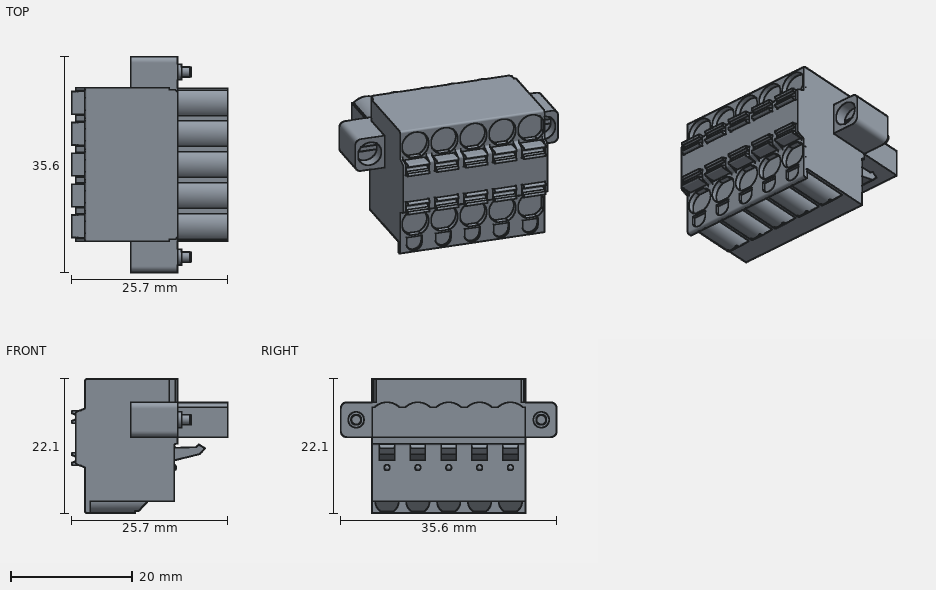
import cadquery as cq
import math


pole_count = 5
pitch = 5.08
pole_ys = [(i - (pole_count - 1) / 2) * pitch for i in range(pole_count)]

height = 22.1
overall_length = 25.72
screw_y = (pole_count + 1) / 2 * pitch
overall_width = 2 * screw_y + pitch

housing_half_width = 12.65
face_x = 2.19
upper_back_x = 17.46
lower_back_x = 16.92
belly_z = 1.93
plinth_back_x = 3.04
face_edge_radius = 0.35

selection_margin = 0.01

band_x = 0.68
band_mid_z = 12.38
band_half_base = 4.86
band_half_top = 4.27
band_edge_radius = 0.35
band_root_radius = 0.25

notch_start_x = 16.05
notch_depth = 0.33
notch_chamfer = 0.38

slot_width = 4.13
slot_outer_offset = 5.1
latch_width = 3.76
latch_outer_offset = 4.5
latch_inner_offset = 2.4
groove_radius = 0.35
lip_tip_radius = 0.25

actuator_radius = 2.34
actuator_y_shift = -0.19
actuator_depth = 1.0
actuator_half_span = 12.45
upper_actuator_z = 19.3
upper_actuator_low_z = 17.18
lower_actuator_z = 5.33
lower_actuator_half_height = 2.15

test_radius = 1.35
test_axis_z = 1.72
test_top_z = 2.83
test_depth = 0.5

rib_radius = belly_z
rib_end_x = 10.47
rib_step_x = 11.03
rib_step_z = 0.35
rib_top_x = 12.54

plug_half_width = 12.6
plug_bottom_z = 12.5
plug_top_z = 18.26
plug_valley_z = 17.4
dome_chord = 4.2
flange_front_x = 9.71
flange_edge_radius = 1.0
screw_z = (plug_bottom_z + plug_top_z) / 2
screw_hole_radius = 2.05
screw_hole_depth = 2.1
driver_slot_width = 0.8
driver_slot_depth = 0.15
collar_radius = 1.3
collar_end_x = 18.1
pin_radius = 0.86
pin_end_x = 19.68
pin_taper_length = 0.25
pin_taper = 0.08

relief_top_z = 11.43
relief_radius = 0.32
arm_width = 2.5
arm_neck = (20.5, 10.89)
arm_hook_crest = (20.95, 11.33)
arm_hook_tip = (21.98, 10.68)
arm_heel = (21.1, 9.72)
arm_root_bottom_z = 8.68
pip_z = 7.5
pip_radius = 0.47
pip_height = 0.3


def box(x0, x1, y0, y1, z0, z1):
    """Axis-aligned box from its limits."""
    return cq.Workplane("XY").box(x1 - x0, y1 - y0, z1 - z0, centered=False).translate((x0, y0, z0))


def along_y(outline, y_center, width):
    """Extrude an XZ outline symmetrically about y_center."""
    plane = cq.Workplane("XZ", origin=(0, y_center, 0))
    return plane.polyline(outline).close().extrude(width / 2, both=True)


def rod(x0, x1, y, z, radius):
    """Round bar along X."""
    return cq.Workplane("YZ", origin=(x0, y, z)).circle(radius).extrude(x1 - x0)


def group(shapes):
    """Gather single-solid shapes so that one operation handles them all."""
    return cq.Workplane("XY").newObject([shape.val() for shape in shapes])


def edge_at(x, z):
    """Selector for the edge along Y at the given x and z."""
    tol = selection_margin
    far = overall_width / 2
    return cq.selectors.BoxSelector((x - tol, -far, z - tol), (x + tol, far, z + tol))


def make_housing():
    """Main block with the raised band and its rounded edges."""
    outline = [
        (face_x, 0),
        (plinth_back_x, 0),
        (plinth_back_x, belly_z),
        (lower_back_x, belly_z),
        (lower_back_x, relief_top_z),
        (upper_back_x, relief_top_z),
        (upper_back_x, height),
        (face_x, height),
        (face_x, band_mid_z + band_half_base),
        (band_x, band_mid_z + band_half_top),
        (band_x, band_mid_z - band_half_top),
        (face_x, band_mid_z - band_half_base),
    ]
    body = along_y(outline, 0, 2 * housing_half_width)
    for side in (-1, 1):
        body = body.edges(edge_at(face_x, band_mid_z + side * band_half_base)).fillet(band_root_radius)
        body = body.edges(edge_at(band_x, band_mid_z + side * band_half_top)).fillet(band_edge_radius)
    body = body.edges(edge_at(lower_back_x, relief_top_z)).fillet(relief_radius)
    for z in (0, height):
        body = body.edges(edge_at(face_x, z)).fillet(face_edge_radius)
    return body


def corner_notch(side):
    """Shallow step with a bevelled end at an upper rear corner of the housing."""
    floor_y = housing_half_width - notch_depth
    outer_y = housing_half_width
    outline = [
        (notch_start_x, outer_y),
        (notch_start_x, floor_y),
        (upper_back_x - notch_chamfer, floor_y),
        (upper_back_x, floor_y - notch_chamfer),
        (upper_back_x, outer_y),
    ]
    points = [(x, side * y) for x, y in outline]
    plane = cq.Workplane("XY", origin=(0, 0, plug_top_z))
    return plane.polyline(points).close().extrude(height - plug_top_z)


def latch_slot(y, side):
    """Slot through the band around one latch."""
    z_inner = band_mid_z + side * latch_inner_offset
    z_outer = band_mid_z + side * slot_outer_offset
    z_limits = sorted((z_inner, z_outer))
    return box(0, face_x, y - slot_width / 2, y + slot_width / 2, *z_limits)


def latch(y, side):
    """Release latch: a block with two rounded lips either side of a round-bottomed groove."""
    half_height = (latch_outer_offset - latch_inner_offset) / 2
    z_mid = band_mid_z + side * (latch_outer_offset + latch_inner_offset) / 2
    tip_z = half_height - lip_tip_radius
    lip_z = half_height - 2 * lip_tip_radius
    outline = (
        cq.Workplane("XZ", origin=(0, y, z_mid))
        .moveTo(face_x, -half_height)
        .lineTo(lip_tip_radius, -half_height)
        .threePointArc((0, -tip_z), (lip_tip_radius, -lip_z))
        .lineTo(band_x, -groove_radius)
        .threePointArc((band_x + groove_radius, 0), (band_x, groove_radius))
        .lineTo(lip_tip_radius, lip_z)
        .threePointArc((0, tip_z), (lip_tip_radius, half_height))
        .lineTo(face_x, half_height)
        .close()
    )
    return outline.extrude(latch_width / 2, both=True)


def actuator_recess(y, z, z_low, z_high):
    """Blind round recess trimmed to flats in Z and kept clear of the housing sides."""
    x_end = face_x + actuator_depth
    window = box(face_x, x_end, -actuator_half_span, actuator_half_span, z_low, z_high)
    return rod(face_x, x_end, y + actuator_y_shift, z, actuator_radius).intersect(window)


def test_recess(y):
    """Shallow D-shaped recess with a half-round lower end."""
    outline = (
        cq.Workplane("YZ", origin=(face_x, y, 0))
        .moveTo(-test_radius, test_top_z)
        .lineTo(-test_radius, test_axis_z)
        .threePointArc((0, test_axis_z - test_radius), (test_radius, test_axis_z))
        .lineTo(test_radius, test_top_z)
        .close()
    )
    return outline.extrude(test_depth)


def rib(y):
    """Half-round underside rib with a stepped and sloped rear end."""
    profile = [
        (plinth_back_x, 0),
        (rib_end_x, 0),
        (rib_end_x, rib_step_z),
        (rib_step_x, rib_step_z),
        (rib_top_x, belly_z),
        (plinth_back_x, belly_z),
    ]
    bar = rod(plinth_back_x, rib_top_x, y, belly_z, rib_radius)
    return bar.intersect(along_y(profile, y, pitch))


def make_plug():
    """Solid plug body with one shallow dome per pole along its top."""
    rise = plug_top_z - plug_valley_z
    dome_radius = ((dome_chord / 2) ** 2 + rise ** 2) / (2 * rise)
    base = box(upper_back_x, overall_length, -plug_half_width, plug_half_width, plug_bottom_z, plug_valley_z)
    crown = box(upper_back_x, overall_length, -plug_half_width, plug_half_width, plug_valley_z, plug_top_z)
    domes = [rod(upper_back_x, overall_length, y, plug_top_z - dome_radius, dome_radius) for y in pole_ys]
    return base.union(group([dome.intersect(crown) for dome in domes]))


def flange(side):
    """Screw flange with a blind head bore, a slotted screw head and a protruding tip."""
    inner_y = side * (housing_half_width - notch_depth - notch_chamfer)
    outer_y = side * overall_width / 2
    y_limits = sorted((inner_y, outer_y))
    outer_face = ">Y" if side > 0 else "<Y"
    y = side * screw_y
    head_x = flange_front_x + screw_hole_depth
    block = box(flange_front_x, upper_back_x, *y_limits, plug_bottom_z, plug_top_z)
    block = block.faces(outer_face).edges("|X").fillet(flange_edge_radius)
    block = block.cut(rod(flange_front_x, head_x, y, screw_z, screw_hole_radius))
    driver_slot = box(
        head_x, head_x + driver_slot_depth,
        y - screw_hole_radius, y + screw_hole_radius,
        screw_z - driver_slot_width / 2, screw_z + driver_slot_width / 2)
    block = block.cut(driver_slot.intersect(
        rod(head_x, head_x + driver_slot_depth, y, screw_z, screw_hole_radius)))
    pin = rod(upper_back_x, pin_end_x, y, screw_z, pin_radius)
    pin = pin.faces(">X").chamfer(pin_taper_length, pin_taper)
    return block.union(rod(upper_back_x, collar_end_x, y, screw_z, collar_radius)).union(pin)


def locking_arm(y):
    """Hooked arm reaching back under the plug."""
    root_z = relief_top_z - relief_radius
    root_x = lower_back_x + relief_radius
    bend = relief_radius * math.sqrt(0.5)
    outline = cq.Workplane("XZ", origin=(0, y, 0)).moveTo(lower_back_x, root_z)
    outline = outline.threePointArc((root_x - bend, root_z - bend), (root_x, root_z - relief_radius))
    for point in (arm_neck, arm_hook_crest, arm_hook_tip, arm_heel, (lower_back_x, arm_root_bottom_z)):
        outline = outline.lineTo(*point)
    return outline.close().extrude(arm_width / 2, both=True)


def coding_pip(y):
    """Low domed pip on the lower rear face."""
    sphere_radius = (pip_radius ** 2 + pip_height ** 2) / (2 * pip_height)
    half_angle = math.asin(pip_radius / sphere_radius) / 2
    mid_x = pip_height - sphere_radius * (1 - math.cos(half_angle))
    mid_r = sphere_radius * math.sin(half_angle)
    half_section = (
        cq.Workplane("XZ", origin=(lower_back_x, y, pip_z))
        .lineTo(0, pip_radius)
        .threePointArc((mid_x, mid_r), (pip_height, 0))
        .close()
    )
    return half_section.revolve(360, (0, 0), (1, 0))


def build():
    """Cut every recess from the housing, then add every projecting feature."""
    cuts = []
    additions = [make_plug()]
    for side in (-1, 1):
        cuts.append(corner_notch(side))
        additions.append(flange(side))
        for y in pole_ys:
            cuts.append(latch_slot(y, side))
            additions.append(latch(y, side))
    lower_low_z = lower_actuator_z - lower_actuator_half_height
    lower_high_z = lower_actuator_z + lower_actuator_half_height
    for y in pole_ys:
        cuts.append(actuator_recess(y, upper_actuator_z, upper_actuator_low_z, height))
        cuts.append(actuator_recess(y, lower_actuator_z, lower_low_z, lower_high_z))
        cuts.append(test_recess(y))
        additions += [rib(y), locking_arm(y), coding_pip(y)]
    return make_housing().cut(group(cuts)).union(group(additions))


result = build()